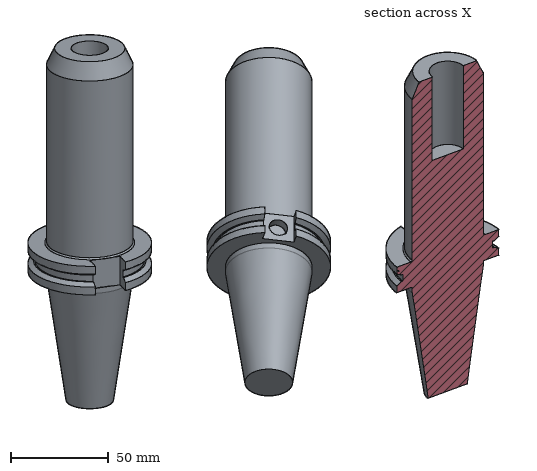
import cadquery as cq
import math

gauge_diameter = 44.45
taper_length = 68.25
taper_rate = 7 / 24
projection = 127.0

body_diameter = 44.45
nose_diameter = 36.0
nose_cone_height = 9.0
bore_diameter = 19.05
bore_depth = 50.8

flange_diameter = 63.5
flange_bottom = 3.175
flange_thickness = 15.875
root_fillet_radius = 0.8

groove_root_diameter = 56.2
groove_step_diameter = 57.8
groove_root_width = 3.8
groove_flank_angle = 30.0

slot_width = 16.38
slot_floor_left = 25.0
slot_floor_right = 22.6
slot_hole_diameter = 9.5
slot_hole_depth = 5.0

flange_radius = flange_diameter / 2
flange_top = flange_bottom + flange_thickness
flange_middle = flange_bottom + flange_thickness / 2
small_end_diameter = gauge_diameter - taper_length * taper_rate


def make_turned_body():
    """Solid of revolution: taper shank, flange, root fillet, body and nose cone."""
    body_radius = body_diameter / 2
    fillet_inset = root_fillet_radius * (1 - math.sqrt(0.5))
    fillet_start = (body_radius + root_fillet_radius, flange_top)
    fillet_middle = (body_radius + fillet_inset, flange_top + fillet_inset)
    fillet_end = (body_radius, flange_top + root_fillet_radius)
    return (
        cq.Workplane("XZ")
        .moveTo(0, -taper_length)
        .lineTo(small_end_diameter / 2, -taper_length)
        .lineTo(gauge_diameter / 2, 0)
        .lineTo(gauge_diameter / 2, flange_bottom)
        .lineTo(flange_radius, flange_bottom)
        .lineTo(flange_radius, flange_top)
        .lineTo(*fillet_start)
        .threePointArc(fillet_middle, fillet_end)
        .lineTo(body_radius, projection - nose_cone_height)
        .lineTo(nose_diameter / 2, projection)
        .lineTo(0, projection)
        .close()
        .revolve(360, (0, 0), (0, 1))
    )


def make_groove():
    """Ring removed from the flange rim."""
    root_radius = groove_root_diameter / 2
    step_radius = groove_step_diameter / 2
    half_root = groove_root_width / 2
    flank_height = (flange_radius - step_radius) * math.tan(math.radians(groove_flank_angle))
    half_mouth = half_root + flank_height
    outline = [
        (root_radius, flange_middle - half_root),
        (step_radius, flange_middle - half_root),
        (flange_radius, flange_middle - half_mouth),
        (flange_radius, flange_middle + half_mouth),
        (step_radius, flange_middle + half_root),
        (root_radius, flange_middle + half_root),
    ]
    return cq.Workplane("XZ").polyline(outline).close().revolve(360, (0, 0), (0, 1))


def make_drive_slot(side, floor_distance):
    """Block removed across the flange; side is -1 for -X and +1 for +X."""
    depth = flange_radius - floor_distance
    center_x = side * (floor_distance + depth / 2)
    return (
        cq.Workplane("XY", origin=(center_x, 0, flange_bottom))
        .box(depth, slot_width, flange_thickness, centered=(True, True, False))
    )


def make_bore():
    """Blind tool bore from the nose face."""
    return (
        cq.Workplane("XY", origin=(0, 0, projection))
        .circle(bore_diameter / 2)
        .extrude(-bore_depth)
    )


def make_slot_hole():
    """Blind hole in the floor of the -X drive slot."""
    return (
        cq.Workplane("YZ", origin=(-slot_floor_left, 0, flange_middle))
        .circle(slot_hole_diameter / 2)
        .extrude(slot_hole_depth)
    )


result = (
    make_turned_body()
    .cut(make_groove())
    .cut(make_drive_slot(-1, slot_floor_left))
    .cut(make_drive_slot(1, slot_floor_right))
    .cut(make_bore())
    .cut(make_slot_hole())
)